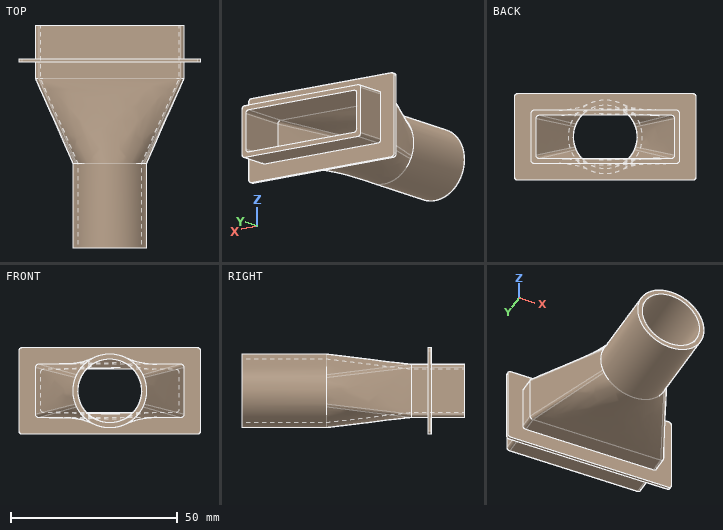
import cadquery as cq
import math

tube_outer_diameter = 22.1
tube_inner_diameter = 19.05
tube_length = 25.4
transition_length = 25.4
socket_width = 44.5
socket_height = 16.0
socket_length = 15.96
socket_wall = 1.5
corner_radius = 1.0
flange_overhang = 5.0
flange_thickness = 1.0
flange_setback = 10.0

socket_start = tube_length + transition_length
socket_end = socket_start + socket_length
flange_start = socket_end - flange_setback - flange_thickness
flange_width = socket_width + 2 * flange_overhang
flange_height = socket_height + 2 * flange_overhang
socket_inner_width = socket_width - 2 * socket_wall
socket_inner_height = socket_height - 2 * socket_wall


def arc_edge(center_x, y, center_z, radius, start_angle, sweep):
    """Circular arc in the XZ plane at the given Y; angles in radians from +X toward +Z."""
    angles = (start_angle, start_angle + sweep / 2, start_angle + sweep)
    points = [
        cq.Vector(center_x + radius * math.cos(a), y, center_z + radius * math.sin(a))
        for a in angles
    ]
    return cq.Edge.makeThreePointArc(*points)


def rounded_rectangle(y, width, height):
    """Edges of a rounded rectangle, eight in all, starting at the lower end of its +X side."""
    x = width / 2 - corner_radius
    z = height / 2 - corner_radius
    quarter_turn = math.pi / 2
    corner_centers = [(x, z), (-x, z), (-x, -z), (x, -z)]
    corners = [
        arc_edge(cx, y, cz, corner_radius, i * quarter_turn, quarter_turn)
        for i, (cx, cz) in enumerate(corner_centers)
    ]
    edges = []
    for i, corner in enumerate(corners):
        edges.append(cq.Edge.makeLine(corners[i - 1].endPoint(), corner.startPoint()))
        edges.append(corner)
    return edges


def divided_circle(y, diameter, rectangle):
    """Edges of a circle split into arcs in proportion to the edge lengths of the rounded rectangle."""
    lengths = [edge.Length() for edge in rectangle]
    sweeps = [2 * math.pi * length / sum(lengths) for length in lengths]
    angle = -sweeps[0] / 2
    edges = []
    for sweep in sweeps:
        edges.append(arc_edge(0, y, 0, diameter / 2, angle, sweep))
        angle += sweep
    return edges


def rounded_block(y, width, height, length):
    """Rectangular block with rounded long edges, running along +Y from the given Y."""
    outline = cq.Wire.assembleEdges(rounded_rectangle(y, width, height))
    return cq.Solid.extrudeLinear(outline, [], cq.Vector(0, length, 0))


def ruled_solid(first_rim, second_rim):
    """Solid with a ruled face between each pair of matching rim edges and a flat face at each end."""
    edge_pairs = zip(first_rim, second_rim)
    sides = [cq.Face.makeRuledSurface(first, second) for first, second in edge_pairs]
    ends = [cq.Face.makeFromWires(cq.Wire.assembleEdges(rim)) for rim in (first_rim, second_rim)]
    return cq.Solid.makeSolid(cq.Shell.makeShell(sides + ends))


def duct(diameter, width, height):
    """Solid round tube that blends into a rounded rectangular socket."""
    tube = cq.Solid.makeCylinder(diameter / 2, tube_length, cq.Vector(0, 0, 0), cq.Vector(0, 1, 0))
    socket = rounded_block(socket_start, width, height, socket_length)
    socket_rim = rounded_rectangle(socket_start, width, height)
    tube_rim = divided_circle(tube_length, diameter, socket_rim)
    transition = ruled_solid(tube_rim, socket_rim)
    return cq.Workplane(tube).union(cq.Workplane(transition)).union(cq.Workplane(socket))


outer_body = duct(tube_outer_diameter, socket_width, socket_height)
passage = duct(tube_inner_diameter, socket_inner_width, socket_inner_height)
flange = cq.Workplane(rounded_block(flange_start, flange_width, flange_height, flange_thickness))

result = outer_body.union(flange).cut(passage)